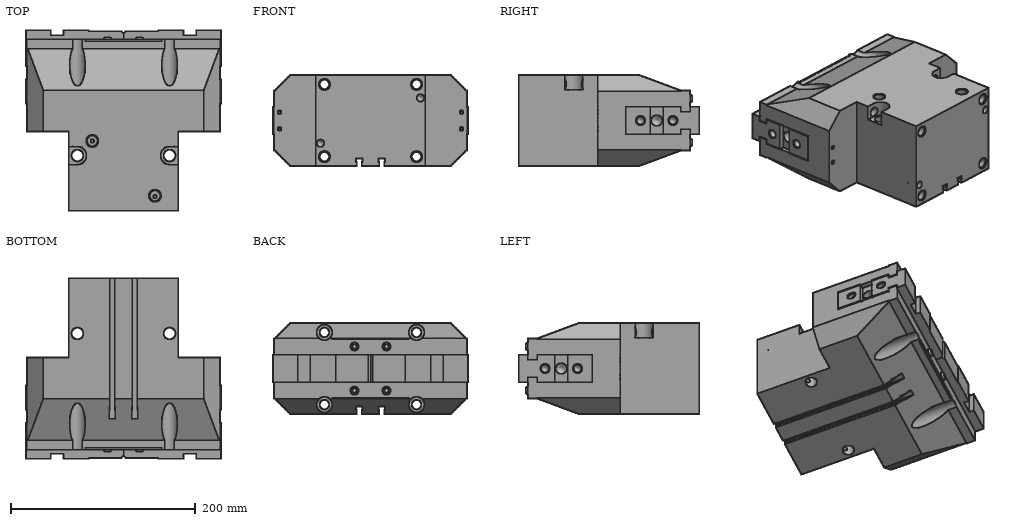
import cadquery as cq
import math


TOTAL_LENGTH = 212.0
TOTAL_DEPTH = 196.0
TOTAL_HEIGHT = 99.0
HALF_HEIGHT = TOTAL_HEIGHT / 2

JAW_OVERHANG = 1.0
HEAD_LENGTH = TOTAL_LENGTH - 2 * JAW_OVERHANG
STEM_LENGTH = 119.1
SHOULDER_Y = 86.0
TAPER_START_Y = 130.8
COVER_START_Y = 176.2
COVER_END_Y = 186.1
COVER_HEIGHT = 65.3
CORNER_CHAMFER = 17.8

EDGE_STEP_LENGTH = 83.0
EDGE_STEP_DEPTH = 2.0
EDGE_STEP_HEIGHT = 1.0

HEAD_X = 17.4
HEAD_Z = 24.0
HEAD_BASE_RADIUS = 4.5
HEAD_TOP_RADIUS = 2.5
HEAD_HEIGHT = 2.5

JAW_FRONT_Y = 116.2
JAW_HEIGHT = 30.0
JAW_NECK_HEIGHT = 19.5
KEY_WIDTH = 13.8
KEYWAY_X = 72.0
KEYWAY_DEPTH = 5.3
PAD_X = 37.7
PAD_RELIEF = 0.8
NOSE_CHAMFER = 2.5
END_GROOVE_Y = 149.9
END_GROOVE_DEPTH = 6.0
END_HOLE_SPACING = 17.5
END_HOLE_DIAMETER = 8.5
END_HOLE_CHAMFER = 0.8
END_HOLE_DEPTH = 12.7
CENTER_HOLE_DIAMETER = 11.9
CENTER_HOLE_DEPTH = 8.5

MOUNT_X = 50.0
LONG_HOLE_Z = 39.2
LONG_HOLE_DIAMETER = 10.2
LONG_HOLE_CHAMFER = 1.0
LONG_BORE_DIAMETER = 17.0
VERTICAL_HOLE_Y = 60.0
VERTICAL_HOLE_DIAMETER = 12.5
EAR_WIDTH = 19.5
EAR_DEPTH = 16.1
DOWEL_X = 54.3
DOWEL_Z = 24.5
DOWEL_DIAMETER = 8.0
DOWEL_DEPTH = 12.7

SHOULDER_HOLE_X = 98.8
SHOULDER_HOLE_Z = 9.1
SHOULDER_HOLE_DIAMETER = 3.0
SHOULDER_HOLE_CHAMFER = 0.6
SHOULDER_HOLE_DEPTH = 8.5

PORTS = [(-34.0, 76.0, 76.0), (34.1, 16.3, 15.3)]
PORT_DIAMETER = 11.7
PORT_CHAMFER = 0.8
PORT_DEPTH = 12.0
PORT_DUCT_DIAMETER = 3.8
PORT_DUCT_DEPTH = 19.0

T_SLOT_X = 12.3
T_SLOT_NECK_WIDTH = 5.0
T_SLOT_WIDTH = 6.8
T_SLOT_DEPTH = 8.0
T_SLOT_HEAD_HEIGHT = 3.4

DRILL_TIP_ANGLE = 118.0

X_DIR = cq.Vector(1, 0, 0)
Y_DIR = cq.Vector(0, 1, 0)
DOWN = cq.Vector(0, 0, -1)
SIGNS = (-1, 1)
CORNERS = [(sx, sz) for sx in SIGNS for sz in SIGNS]


def block(x_range, y_range, z_range):
    """Axis-aligned block between the given limits."""
    sizes = [end - start for start, end in (x_range, y_range, z_range)]
    return cq.Workplane("XY").box(*sizes, centered=False).translate(
        (x_range[0], y_range[0], z_range[0])
    )


def bore(start, direction, diameter, depth, chamfer=0.0):
    """Flat-ended hole tool with an optional 45 degree entry chamfer."""
    radius = diameter / 2
    tool = cq.Workplane(cq.Solid.makeCylinder(radius, depth, start, direction))
    if chamfer > 0:
        tool = tool.union(
            cq.Workplane(cq.Solid.makeCone(radius + chamfer, radius, chamfer, start, direction))
        )
    return tool


def drill(start, direction, diameter, depth, chamfer=0.0):
    """Blind hole tool with a conical drill tip; depth is to the start of the tip."""
    radius = diameter / 2
    tip_length = radius / math.tan(math.radians(DRILL_TIP_ANGLE / 2))
    tip = cq.Solid.makeCone(radius, 0, tip_length, start + direction * depth, direction)
    return bore(start, direction, diameter, depth, chamfer).union(cq.Workplane(tip))


def jaw_profile_tool(length):
    """Jaw cross-section, necked at the cover bars, extruded along +X from X = 0."""
    half = JAW_HEIGHT / 2
    half_neck = JAW_NECK_HEIGHT / 2
    upper = [
        (TOTAL_DEPTH, half),
        (COVER_END_Y, half),
        (COVER_END_Y, half_neck),
        (COVER_START_Y, half_neck),
        (COVER_START_Y, half),
        (JAW_FRONT_Y, half),
    ]
    lower = [(y, -z) for y, z in reversed(upper)]
    return cq.Workplane("YZ").polyline(upper + lower).close().extrude(length)


def head_blank():
    """Wide head: tapered top and bottom with chamfered long edges, up to the cover bars."""
    half_cover = COVER_HEIGHT / 2
    upper = [
        (SHOULDER_Y, HALF_HEIGHT),
        (TAPER_START_Y, HALF_HEIGHT),
        (COVER_START_Y, half_cover),
    ]
    lower = [(y, -z) for y, z in reversed(upper)]
    side_profile = (
        cq.Workplane("YZ").polyline(upper + lower).close().extrude(HEAD_LENGTH / 2, both=True)
    )
    chamfered_bar = (
        cq.Workplane("XY")
        .box(HEAD_LENGTH, COVER_START_Y, TOTAL_HEIGHT, centered=(True, False, True))
        .edges("|Y")
        .chamfer(CORNER_CHAMFER)
    )
    return side_profile.intersect(chamfered_bar)


def cover_blank():
    """Square-cornered bar closing the head; the jaw guide later splits it in two."""
    return block(
        (-HEAD_LENGTH / 2, HEAD_LENGTH / 2),
        (COVER_START_Y, COVER_END_Y),
        (-COVER_HEIGHT / 2, COVER_HEIGHT / 2),
    )


def edge_steps():
    """Shallow recesses along the free edges of the cover, top and bottom."""
    step = block(
        (-EDGE_STEP_LENGTH / 2, EDGE_STEP_LENGTH / 2),
        (COVER_END_Y - EDGE_STEP_DEPTH, COVER_END_Y),
        (COVER_HEIGHT / 2 - EDGE_STEP_HEIGHT, COVER_HEIGHT / 2),
    )
    return step.union(step.mirror("XY"))


def button_head(x, z):
    """Domed screw head standing on the free face of the cover."""
    mid_radius = HEAD_BASE_RADIUS - (HEAD_BASE_RADIUS - HEAD_TOP_RADIUS) / 3
    dome = (
        cq.Workplane("XY")
        .lineTo(HEAD_BASE_RADIUS, 0)
        .threePointArc((mid_radius, HEAD_HEIGHT * 0.6), (HEAD_TOP_RADIUS, HEAD_HEIGHT))
        .lineTo(0, HEAD_HEIGHT)
        .close()
        .revolve(360, (0, 0), (0, 1))
    )
    return dome.translate((x, COVER_END_Y, z))


def long_hole(x, z):
    """Lengthwise screw hole; its counterbore opens through the slope and the cover."""
    hole = bore(cq.Vector(x, 0, z), Y_DIR, LONG_HOLE_DIAMETER, COVER_END_Y, LONG_HOLE_CHAMFER)
    counterbore = bore(
        cq.Vector(x, TAPER_START_Y, z), Y_DIR, LONG_BORE_DIAMETER, COVER_END_Y - TAPER_START_Y
    )
    return hole.union(counterbore)


def vertical_hole(side):
    """Vertical through hole under a round-ended pocket open to the side of the mounting block."""
    x = side * MOUNT_X
    hole = bore(cq.Vector(x, VERTICAL_HOLE_Y, HALF_HEIGHT), DOWN, VERTICAL_HOLE_DIAMETER, TOTAL_HEIGHT)
    round_end = bore(cq.Vector(x, VERTICAL_HOLE_Y, HALF_HEIGHT), DOWN, EAR_WIDTH, EAR_DEPTH)
    opening = block(
        sorted((x, side * STEM_LENGTH / 2)),
        (VERTICAL_HOLE_Y - EAR_WIDTH / 2, VERTICAL_HOLE_Y + EAR_WIDTH / 2),
        (HALF_HEIGHT - EAR_DEPTH, HALF_HEIGHT),
    )
    return hole.union(round_end).union(opening)


def air_port(x, y, duct_y):
    """Chamfered port with a flat floor and a thin duct below it."""
    duct_start = cq.Vector(x, duct_y, HALF_HEIGHT)
    port = bore(cq.Vector(x, y, HALF_HEIGHT), DOWN, PORT_DIAMETER, PORT_DEPTH, PORT_CHAMFER)
    return port.union(drill(duct_start, DOWN, PORT_DUCT_DIAMETER, PORT_DUCT_DEPTH))


def t_slot(x):
    """T-slot along the whole bottom."""
    slot_top = T_SLOT_DEPTH - HALF_HEIGHT
    neck = block(
        (x - T_SLOT_NECK_WIDTH / 2, x + T_SLOT_NECK_WIDTH / 2),
        (0, COVER_START_Y),
        (-HALF_HEIGHT, slot_top),
    )
    wide = block(
        (x - T_SLOT_WIDTH / 2, x + T_SLOT_WIDTH / 2),
        (0, COVER_START_Y),
        (slot_top - T_SLOT_HEAD_HEIGHT, slot_top),
    )
    return neck.union(wide)


def make_housing():
    stem = block(
        (-STEM_LENGTH / 2, STEM_LENGTH / 2), (0, SHOULDER_Y), (-HALF_HEIGHT, HALF_HEIGHT)
    )
    body = stem.union(head_blank()).union(cover_blank())
    body = body.cut(jaw_profile_tool(HEAD_LENGTH).translate((-HEAD_LENGTH / 2, 0, 0)))
    body = body.cut(edge_steps())
    for sx, sz in CORNERS:
        body = body.cut(long_hole(sx * MOUNT_X, sz * LONG_HOLE_Z))
        shoulder_start = cq.Vector(sx * SHOULDER_HOLE_X, SHOULDER_Y, sz * SHOULDER_HOLE_Z)
        body = body.cut(
            drill(
                shoulder_start,
                Y_DIR,
                SHOULDER_HOLE_DIAMETER,
                SHOULDER_HOLE_DEPTH,
                SHOULDER_HOLE_CHAMFER,
            )
        )
        body = body.union(button_head(sx * HEAD_X, sz * HEAD_Z))
    for side in SIGNS:
        body = body.cut(vertical_hole(side))
        dowel_start = cq.Vector(side * DOWEL_X, 0, side * DOWEL_Z)
        body = body.cut(drill(dowel_start, Y_DIR, DOWEL_DIAMETER, DOWEL_DEPTH))
        body = body.cut(t_slot(side * T_SLOT_X))
    for x, y, duct_y in PORTS:
        body = body.cut(air_port(x, y, duct_y))
    return body


def make_left_jaw():
    """Jaw on the -X side, from the housing end to the middle plane."""
    half_length = TOTAL_LENGTH / 2
    half_height = JAW_HEIGHT / 2
    z_range = (-half_height, half_height)
    jaw = jaw_profile_tool(half_length).translate((-half_length, 0, 0))

    keyway = block(
        (-KEYWAY_X - KEY_WIDTH / 2, -KEYWAY_X + KEY_WIDTH / 2),
        (TOTAL_DEPTH - KEYWAY_DEPTH, TOTAL_DEPTH),
        z_range,
    )
    relief = block((-PAD_X, 0), (TOTAL_DEPTH - PAD_RELIEF, TOTAL_DEPTH), z_range)
    jaw = jaw.cut(keyway).cut(relief)
    jaw = jaw.faces(">X").edges(">Y").chamfer(NOSE_CHAMFER)

    groove_floor = -half_length + END_GROOVE_DEPTH
    end_groove = block(
        (-half_length, groove_floor),
        (END_GROOVE_Y - KEY_WIDTH / 2, END_GROOVE_Y + KEY_WIDTH / 2),
        z_range,
    )
    jaw = jaw.cut(end_groove)
    groove_start = cq.Vector(groove_floor, END_GROOVE_Y, 0)
    jaw = jaw.cut(drill(groove_start, X_DIR, CENTER_HOLE_DIAMETER, CENTER_HOLE_DEPTH))
    for side in SIGNS:
        hole_start = cq.Vector(-half_length, END_GROOVE_Y + side * END_HOLE_SPACING, 0)
        jaw = jaw.cut(
            drill(hole_start, X_DIR, END_HOLE_DIAMETER, END_HOLE_DEPTH, END_HOLE_CHAMFER)
        )
    return jaw


housing = make_housing()
jaws = []
for half_turn in (0, 180):
    jaws.append(make_left_jaw().rotate((0, 0, 0), (0, 1, 0), half_turn).val())

result = cq.Compound.makeCompound([housing.val(), *jaws])